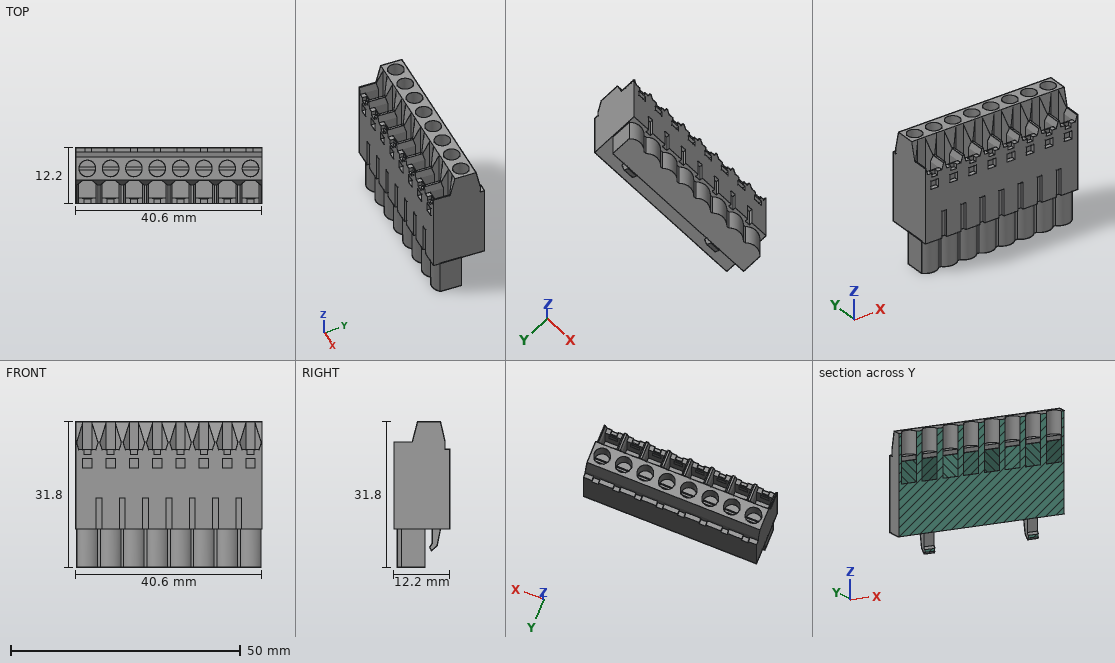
import cadquery as cq

POLES = 8
LENGTH = 40.65
PITCH = LENGTH / POLES
DEPTH = 12.2
HEIGHT = 31.8
BODY_BOTTOM = 8.35

FRONT_SHOULDER_Z = 27.35
REAR_SHOULDER_Z = 25.8
FRONT_SLOPE_FOOT_Y = 4.0
FRONT_SLOPE_TOP_Y = 5.12
REAR_SLOPE_TOP_Y = 10.15
REAR_SLOPE_FOOT_Y = 11.18

SKIRT_FRONT_Y = 0.7
SKIRT_FLAT_Y = 1.65
SKIRT_REAR_Y = 6.8
BULGE_WIDTH = 4.47
SKIRT_END_GAP = 0.2

FUNNEL_WIDTH = 4.6
FUNNEL_BACK_WIDTH = 2.05
FUNNEL_BACK_Y = 5.05
FLARE_TOP_Z = 27.03
FUNNEL_FLOOR_Z = 25.7
FUNNEL_FLOOR_WIDTH = 3.75
LIP_THICKNESS = 1.18
PIT_BOTTOM_Z = 18.3

NOTCH_WIDTH = 1.5
LIP_NOTCH_DEPTH = 0.95
LIP_NOTCH_BOTTOM_Z = 24.65
WINDOW_SIZE = 2.05
WINDOW_CENTRE_Z = 22.68
WINDOW_DEPTH = 1.05
KEY_SLOT_WIDTH = 1.25
KEY_SLOT_DEPTH = 0.75
KEY_SLOT_TOP_Z = 15.1
REAR_NOTCH_BOTTOM_Z = 24.65
END_REAR_NOTCH_SHIFT = 0.2

SCREW_DIAMETER = 3.6
SCREW_Y = 7.65
SCREW_TOP_Z = 26.4
SCREW_LENGTH = 6.1
SCREW_BOTTOM_Z = SCREW_TOP_Z - SCREW_LENGTH
SCREW_SLOT_WIDTH = 0.7
SCREW_SLOT_DEPTH = 1.0

LATCH_WIDTH = PITCH / 2
LATCH_POLES = (1, POLES - 2)
LATCH_FRONT_Y = 8.35
LATCH_REAR_Y = 10.15
LATCH_HOOK_TOP_Z = 5.25
LATCH_HEEL = (9.43, 4.7)
LATCH_TIP_BOTTOM = (8.15, 3.6)
LATCH_TIP_FRONT = (7.75, 4.45)

POLE_CENTRES = [(pole + 0.5) * PITCH for pole in range(POLES)]

REAR_NOTCH_CENTRES = [
    POLE_CENTRES[0] + END_REAR_NOTCH_SHIFT,
    *POLE_CENTRES[1:-1],
    POLE_CENTRES[-1] - END_REAR_NOTCH_SHIFT,
]


def box(x_range, y_range, z_range):
    """Axis-aligned block between the given limits."""
    (x0, x1), (y0, y1), (z0, z1) = x_range, y_range, z_range
    return cq.Workplane("XY").box(x1 - x0, y1 - y0, z1 - z0, centered=False).translate((x0, y0, z0))


def centred_range(centre, width):
    """Limits of a span of the given width about a centre."""
    return centre - width / 2, centre + width / 2


def make_shell():
    """Main block with its sloped top and the two shoulders."""
    profile = [
        (0, BODY_BOTTOM),
        (0, FRONT_SHOULDER_Z),
        (FRONT_SLOPE_FOOT_Y, FRONT_SHOULDER_Z),
        (FRONT_SLOPE_TOP_Y, HEIGHT),
        (REAR_SLOPE_TOP_Y, HEIGHT),
        (REAR_SLOPE_FOOT_Y, FRONT_SHOULDER_Z),
        (REAR_SLOPE_FOOT_Y, REAR_SHOULDER_Z),
        (DEPTH, REAR_SHOULDER_Z),
        (DEPTH, BODY_BOTTOM),
    ]
    return cq.Workplane("YZ").polyline(profile).close().extrude(LENGTH)


def make_skirt():
    """Plug skirt below the block, its front scalloped by one arc for each pole."""
    outline = cq.Workplane("XY").moveTo(SKIRT_END_GAP, SKIRT_REAR_Y)
    outline = outline.lineTo(SKIRT_END_GAP, SKIRT_FLAT_Y)
    for centre in POLE_CENTRES:
        left, right = centred_range(centre, BULGE_WIDTH)
        outline = outline.lineTo(left, SKIRT_FLAT_Y)
        outline = outline.threePointArc((centre, SKIRT_FRONT_Y), (right, SKIRT_FLAT_Y))
    outline = outline.lineTo(LENGTH - SKIRT_END_GAP, SKIRT_FLAT_Y)
    outline = outline.lineTo(LENGTH - SKIRT_END_GAP, SKIRT_REAR_Y).close()
    return outline.extrude(BODY_BOTTOM)


def make_latch(centre):
    """Hooked latch arm hanging behind the skirt."""
    profile = [
        (LATCH_FRONT_Y, BODY_BOTTOM),
        (LATCH_REAR_Y, BODY_BOTTOM),
        LATCH_HEEL,
        LATCH_TIP_BOTTOM,
        LATCH_TIP_FRONT,
        (LATCH_FRONT_Y, LATCH_HOOK_TOP_Z),
    ]
    start, _ = centred_range(centre, LATCH_WIDTH)
    return cq.Workplane("YZ", origin=(start, 0, 0)).polyline(profile).close().extrude(LATCH_WIDTH)


def make_funnel(centre):
    """Wire entry: a flared trough open to the front, with a deep pit behind the front lip."""
    half, back_half, floor_half = FUNNEL_WIDTH / 2, FUNNEL_BACK_WIDTH / 2, FUNNEL_FLOOR_WIDTH / 2
    plan = [
        (centre - half, 0),
        (centre - half, FRONT_SLOPE_FOOT_Y),
        (centre - back_half, FUNNEL_BACK_Y),
        (centre + back_half, FUNNEL_BACK_Y),
        (centre + half, FRONT_SLOPE_FOOT_Y),
        (centre + half, 0),
    ]
    column = (
        cq.Workplane("XY", origin=(0, 0, PIT_BOTTOM_Z)).polyline(plan).close().extrude(HEIGHT - PIT_BOTTOM_Z)
    )
    flare_profile = [
        (centre - floor_half, FUNNEL_FLOOR_Z),
        (centre - half, FLARE_TOP_Z),
        (centre - half, HEIGHT),
        (centre + half, HEIGHT),
        (centre + half, FLARE_TOP_Z),
        (centre + floor_half, FUNNEL_FLOOR_Z),
    ]
    flare = cq.Workplane("XZ").polyline(flare_profile).close().extrude(-FUNNEL_BACK_Y)
    pit = box(
        centred_range(centre, FUNNEL_FLOOR_WIDTH),
        (LIP_THICKNESS, FUNNEL_BACK_Y),
        (PIT_BOTTOM_Z, FUNNEL_FLOOR_Z),
    )
    return column.intersect(flare.union(pit))


def make_lip_notch(centre):
    """Small notch in the front lip of a funnel."""
    return box(
        centred_range(centre, NOTCH_WIDTH), (0, LIP_NOTCH_DEPTH), (LIP_NOTCH_BOTTOM_Z, FUNNEL_FLOOR_Z)
    )


def make_window(centre):
    """Blind square test opening in the front face."""
    return box(
        centred_range(centre, WINDOW_SIZE), (0, WINDOW_DEPTH), centred_range(WINDOW_CENTRE_Z, WINDOW_SIZE)
    )


def make_rear_notch(centre):
    """Notch in the rear shoulder, open to the rear face."""
    return box(
        centred_range(centre, NOTCH_WIDTH),
        (REAR_SLOPE_FOOT_Y, DEPTH),
        (REAR_NOTCH_BOTTOM_Z, REAR_SHOULDER_Z),
    )


def make_key_slot(boundary):
    """Shallow slot in the lower front face, between two poles."""
    return box(centred_range(boundary, KEY_SLOT_WIDTH), (0, KEY_SLOT_DEPTH), (BODY_BOTTOM, KEY_SLOT_TOP_Z))


def make_cylinder(centre, bottom_z, top_z):
    """Upright cylinder on the screw axis of a pole."""
    base = cq.Workplane("XY", origin=(centre, SCREW_Y, bottom_z))
    return base.circle(SCREW_DIAMETER / 2).extrude(top_z - bottom_z)


def make_screw(centre):
    """Slotted clamping screw."""
    screw = make_cylinder(centre, SCREW_BOTTOM_Z, SCREW_TOP_Z)
    slot = box(
        centred_range(centre, SCREW_DIAMETER),
        centred_range(SCREW_Y, SCREW_SLOT_WIDTH),
        (SCREW_TOP_Z - SCREW_SLOT_DEPTH, SCREW_TOP_Z),
    )
    return screw.cut(slot)


def make_housing():
    """Housing with all its pole features."""
    housing = make_shell().union(make_skirt())
    for pole in LATCH_POLES:
        housing = housing.union(make_latch(POLE_CENTRES[pole]))
    for centre in POLE_CENTRES:
        housing = housing.cut(make_funnel(centre))
        housing = housing.cut(make_lip_notch(centre))
        housing = housing.cut(make_window(centre))
        housing = housing.cut(make_cylinder(centre, SCREW_BOTTOM_Z, HEIGHT))
    for centre in REAR_NOTCH_CENTRES:
        housing = housing.cut(make_rear_notch(centre))
    for boundary in range(1, POLES):
        housing = housing.cut(make_key_slot(boundary * PITCH))
    return housing


housing = make_housing()
screws = [make_screw(centre) for centre in POLE_CENTRES]

result = cq.Compound.makeCompound([housing.val(), *[screw.val() for screw in screws]])